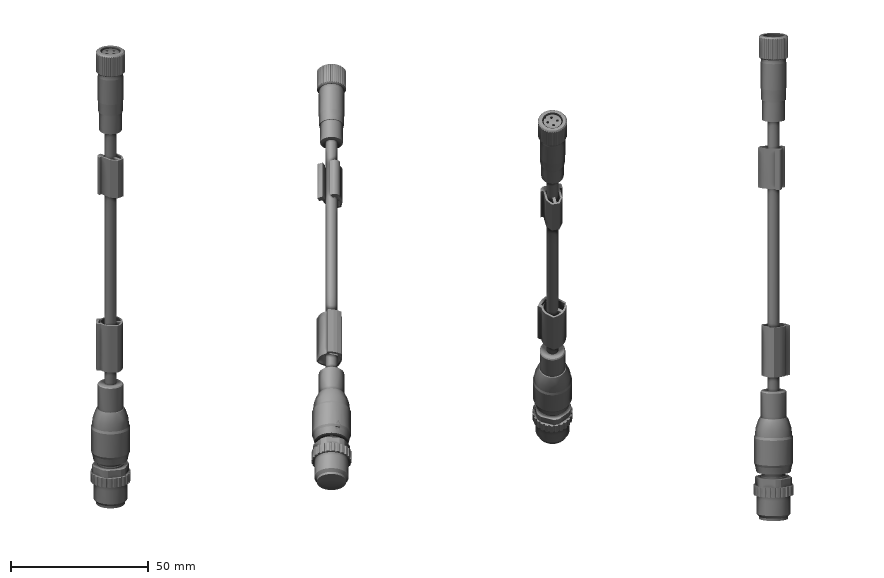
import cadquery as cq
import math

TOTAL_LENGTH = 178.4
CABLE_RADIUS = 2.1
OVERLAP = 0.9

PLUG_TOP = 47.3
THREAD_RADIUS = 6.2
TIP_RADIUS = 5.4
TIP_HEIGHT = 0.9
TIP_CHAMFER_TOP = 2.0
RING_BOTTOM = 9.0
RING_TOP = 12.5
RING_RADIUS = 7.3
RING_NOTCHES = 24
NOTCH_RADIUS = 0.45
HEX_TOP = 15.3
HEX_ACROSS_FLATS = 12.5
HEX_ACROSS_CORNERS = HEX_ACROSS_FLATS / math.cos(math.pi / 6)
HEX_CORNER_RADIUS = 6.69
COLLAR_TOP = 15.9
COLLAR_RADIUS = 4.8
NECK_RADIUS = 4.3
GRIP_BOTTOM = 17.3
GRIP_BOTTOM_RADIUS = 6.2
GRIP_LOWER_EDGE = 20.7
GRIP_UPPER_EDGE = 30.0
GRIP_RADIUS = 7.1
GRIP_BEVEL = 0.4
GRIP_BEVEL_HEIGHT = 0.9
SHOULDER_TOP = 37.5
SHOULDER_MID = 34.6
SHOULDER_MID_RADIUS = 6.2
SHOULDER_TOP_RADIUS = 5.0
SLEEVE_RADIUS = 4.6
SLEEVE_CHAMFER = 0.4
ARROW_BOTTOM = 20.9
ARROW_WIDTH = 1.8
ARROW_HEIGHT = 1.8
ARROW_DEPTH = 0.27
MARK_BOTTOM = 18.5
MARK_HEIGHT = 1.5
MARK_INNER_RADIUS = 6.2

SOCKET_BOTTOM = 147.2
SOCKET_TAIL_RADIUS = 4.1
SOCKET_TAPER_BOTTOM = 154.7
SOCKET_TAPER_RADIUS = 4.5
SOCKET_BODY_BOTTOM = 159.0
SOCKET_BODY_TOP = 168.5
SOCKET_BODY_RADIUS = 4.6
SOCKET_NECK_RADIUS = 4.5
NUT_BOTTOM = 170.0
NUT_RADIUS = 5.4
NUT_CHAMFER = 0.5
NUT_GROOVES = 40
NUT_GROOVE_RADIUS = 0.21
NUT_BORE_RADIUS = 3.7
NUT_BORE_DEPTH = 5.4
INSERT_RADIUS = 3.2
INSERT_RECESS = 0.5
PIN_HOLES = 4
PIN_CIRCLE_RADIUS = 1.8
PIN_HOLE_RADIUS = 0.5
PIN_HOLE_DEPTH = 5.4
KEY_SIZE = 0.7

CLIP_WALL = 0.7
WEB_THICKNESS = 1.0
OPEN_CLIP_BOTTOM = 122.2
OPEN_CLIP_TOP = 137.0
OPEN_CLIP_HALF_WIDTH = 3.0
OPEN_CLIP_TIP_X = (-3.7, -1.6)
OPEN_CLIP_SHOULDER_X = 2.9
OPEN_CLIP_BACK_X = 5.4
OPEN_CLIP_BACK_HALF_WIDTH = 1.5
RIGHT_TIP_Y = (-4.1, -1.2)
RIGHT_TIP_ROUND = 2.0
LEFT_TIP_Y = (1.8, 4.1)
LEFT_TIP_ROUND = 0.7
TAG_CLIP_BOTTOM = 53.0
TAG_CLIP_TOP = 71.4
TAG_CLIP_RADIUS = 4.3
TAG_CLIP_SIDE_BACK = 2.7
TAG_CLIP_BACK = 4.5
TAG_CLIP_OFFSET = -0.5
TAG_HALF_WIDTH = 2.7
TAG_FLAT_HALF_WIDTH = 0.7
TAG_FRONT = -5.4
TAG_SHOULDER = -5.0
TAG_BACK = -2.9
TAG_SLOT_HALF_WIDTH = 1.6
TAG_SLOT_FRONT = -4.3
TAG_SLOT_BACK = -3.5

DIAGONAL_ANGLE = 225


def cylinder(radius, bottom, top, x=0, y=0):
    return cq.Workplane("XY").workplane(offset=bottom).center(x, y).circle(radius).extrude(top - bottom)


def prism(points, bottom, top):
    return cq.Workplane("XY").workplane(offset=bottom).polyline(points).close().extrude(top - bottom)


def box_between(x_range, y_range, bottom, top):
    corners = [(x_range[0], y_range[0]), (x_range[1], y_range[0]),
               (x_range[1], y_range[1]), (x_range[0], y_range[1])]
    return prism(corners, bottom, top)


def turn_toward_diagonal(shape, facing_angle):
    """Turn a shape that faces facing_angle about Z so that it faces the diagonal."""
    return shape.rotate((0, 0, 0), (0, 0, 1), DIAGONAL_ANGLE - facing_angle)


def edge_grooves(count, rim_radius, groove_radius, bottom, top):
    """Round vertical cutters spaced evenly on a rim."""
    return (cq.Workplane("XY").workplane(offset=bottom)
            .polarArray(rim_radius, 180 / count, 360, count)
            .circle(groove_radius).extrude(top - bottom))


def make_plug():
    profile = (cq.Workplane("XZ").moveTo(0, 0)
               .lineTo(TIP_RADIUS, 0).lineTo(TIP_RADIUS, TIP_HEIGHT)
               .lineTo(THREAD_RADIUS, TIP_CHAMFER_TOP).lineTo(THREAD_RADIUS, RING_TOP)
               .lineTo(COLLAR_RADIUS, RING_TOP).lineTo(COLLAR_RADIUS, COLLAR_TOP)
               .lineTo(NECK_RADIUS, COLLAR_TOP).lineTo(NECK_RADIUS, GRIP_BOTTOM)
               .lineTo(GRIP_BOTTOM_RADIUS, GRIP_BOTTOM)
               .lineTo(GRIP_RADIUS - GRIP_BEVEL, GRIP_LOWER_EDGE - GRIP_BEVEL_HEIGHT)
               .lineTo(GRIP_RADIUS, GRIP_LOWER_EDGE)
               .lineTo(GRIP_RADIUS, GRIP_UPPER_EDGE)
               .lineTo(GRIP_RADIUS - GRIP_BEVEL, GRIP_UPPER_EDGE + GRIP_BEVEL_HEIGHT)
               .threePointArc((SHOULDER_MID_RADIUS, SHOULDER_MID), (SHOULDER_TOP_RADIUS, SHOULDER_TOP))
               .lineTo(SLEEVE_RADIUS, SHOULDER_TOP).lineTo(SLEEVE_RADIUS, PLUG_TOP - SLEEVE_CHAMFER)
               .lineTo(SLEEVE_RADIUS - SLEEVE_CHAMFER, PLUG_TOP).lineTo(0, PLUG_TOP).close())
    body = profile.revolve(360, (0, 0, 0), (0, 1, 0))

    ring = cylinder(RING_RADIUS, RING_BOTTOM, RING_TOP)
    ring = ring.cut(edge_grooves(RING_NOTCHES, RING_RADIUS, NOTCH_RADIUS, RING_BOTTOM, RING_TOP))
    hexagon = (cq.Workplane("XY").workplane(offset=RING_TOP)
               .polygon(6, HEX_ACROSS_CORNERS).extrude(HEX_TOP - RING_TOP))
    hexagon = hexagon.intersect(cylinder(HEX_CORNER_RADIUS, RING_TOP, HEX_TOP))
    body = body.union(ring).union(hexagon)

    arrow_floor = GRIP_RADIUS - ARROW_DEPTH
    arrow = (cq.Workplane("YZ").workplane(offset=arrow_floor)
             .polyline([(-ARROW_WIDTH / 2, ARROW_BOTTOM), (ARROW_WIDTH / 2, ARROW_BOTTOM),
                        (0, ARROW_BOTTOM + ARROW_HEIGHT)]).close().extrude(GRIP_RADIUS - arrow_floor))
    mark = box_between((MARK_INNER_RADIUS, GRIP_RADIUS), (-ARROW_WIDTH / 2, ARROW_WIDTH / 2),
                       MARK_BOTTOM, MARK_BOTTOM + MARK_HEIGHT)
    return body.cut(turn_toward_diagonal(arrow, 0)).cut(turn_toward_diagonal(mark, 0))


def make_socket():
    body = (cq.Workplane("XZ").moveTo(0, SOCKET_BOTTOM)
            .lineTo(SOCKET_TAIL_RADIUS, SOCKET_BOTTOM).lineTo(SOCKET_TAIL_RADIUS, SOCKET_TAPER_BOTTOM)
            .lineTo(SOCKET_TAPER_RADIUS, SOCKET_TAPER_BOTTOM)
            .lineTo(SOCKET_BODY_RADIUS, SOCKET_BODY_BOTTOM).lineTo(SOCKET_BODY_RADIUS, SOCKET_BODY_TOP)
            .lineTo(SOCKET_NECK_RADIUS, NUT_BOTTOM).lineTo(0, NUT_BOTTOM).close()
            .revolve(360, (0, 0, 0), (0, 1, 0)))

    nut = cylinder(NUT_RADIUS, NUT_BOTTOM, TOTAL_LENGTH).faces("<Z or >Z").chamfer(NUT_CHAMFER)
    nut = nut.cut(edge_grooves(NUT_GROOVES, NUT_RADIUS, NUT_GROOVE_RADIUS, NUT_BOTTOM, TOTAL_LENGTH))
    bore_floor = TOTAL_LENGTH - NUT_BORE_DEPTH
    nut = nut.cut(cylinder(NUT_BORE_RADIUS, bore_floor, TOTAL_LENGTH))

    insert_top = TOTAL_LENGTH - INSERT_RECESS
    insert = cylinder(INSERT_RADIUS, bore_floor, insert_top)
    pins = (cq.Workplane("XY").workplane(offset=insert_top)
            .polarArray(PIN_CIRCLE_RADIUS, 0, 360, PIN_HOLES)
            .circle(PIN_HOLE_RADIUS).extrude(-PIN_HOLE_DEPTH))
    key = box_between((INSERT_RADIUS - KEY_SIZE / 2, INSERT_RADIUS + KEY_SIZE),
                      (-KEY_SIZE / 2, KEY_SIZE / 2), bore_floor, insert_top)
    insert = insert.cut(pins).cut(turn_toward_diagonal(key, 0))
    return body.union(nut).union(insert)


def make_open_clip():
    """Thin channel, open toward -X, with a thick rounded tip on each arm."""
    bottom, top = OPEN_CLIP_BOTTOM, OPEN_CLIP_TOP
    arm_start_x = sum(OPEN_CLIP_TIP_X) / 2
    outline = [(arm_start_x, -OPEN_CLIP_HALF_WIDTH), (OPEN_CLIP_SHOULDER_X, -OPEN_CLIP_HALF_WIDTH),
               (OPEN_CLIP_BACK_X, -OPEN_CLIP_BACK_HALF_WIDTH), (OPEN_CLIP_BACK_X, OPEN_CLIP_BACK_HALF_WIDTH),
               (OPEN_CLIP_SHOULDER_X, OPEN_CLIP_HALF_WIDTH), (arm_start_x, OPEN_CLIP_HALF_WIDTH)]
    inner_half_width = OPEN_CLIP_HALF_WIDTH - CLIP_WALL
    inner_back_x = OPEN_CLIP_BACK_X - CLIP_WALL
    inner_back_half_width = OPEN_CLIP_BACK_HALF_WIDTH - CLIP_WALL / 2
    channel = [(arm_start_x, -inner_half_width), (OPEN_CLIP_SHOULDER_X, -inner_half_width),
               (inner_back_x, -inner_back_half_width), (inner_back_x, inner_back_half_width),
               (OPEN_CLIP_SHOULDER_X, inner_half_width), (arm_start_x, inner_half_width)]
    clip = prism(outline, bottom, top).cut(prism(channel, bottom, top))
    right_tip = box_between(OPEN_CLIP_TIP_X, RIGHT_TIP_Y, bottom, top)
    right_tip = right_tip.edges("|Z").edges("<X").edges("<Y").fillet(RIGHT_TIP_ROUND)
    left_tip = box_between(OPEN_CLIP_TIP_X, LEFT_TIP_Y, bottom, top)
    left_tip = left_tip.edges("|Z").edges("<X").edges(">Y").fillet(LEFT_TIP_ROUND)
    clip = clip.union(right_tip).union(left_tip)
    web = box_between((0, OPEN_CLIP_BACK_X - CLIP_WALL / 2),
                      (-WEB_THICKNESS / 2, WEB_THICKNESS / 2), bottom, top)
    return clip.union(web)


def tag_tube(radius, back):
    """Solid with a half-round front, straight sides and a shallow arched back."""
    return (cq.Workplane("XY").workplane(offset=TAG_CLIP_BOTTOM)
            .moveTo(-radius, 0).threePointArc((0, -radius), (radius, 0))
            .lineTo(radius, TAG_CLIP_SIDE_BACK)
            .threePointArc((0, back), (-radius, TAG_CLIP_SIDE_BACK))
            .close().extrude(TAG_CLIP_TOP - TAG_CLIP_BOTTOM))


def make_tag_clip():
    """Closed tube with straight sides and a label holder; built facing -Y, then turned to the diagonal."""
    bottom, top = TAG_CLIP_BOTTOM, TAG_CLIP_TOP
    inner_radius = TAG_CLIP_RADIUS - CLIP_WALL
    holder = prism([(-TAG_HALF_WIDTH, TAG_BACK), (-TAG_HALF_WIDTH, TAG_SHOULDER),
                    (-TAG_FLAT_HALF_WIDTH, TAG_FRONT), (TAG_FLAT_HALF_WIDTH, TAG_FRONT),
                    (TAG_HALF_WIDTH, TAG_SHOULDER), (TAG_HALF_WIDTH, TAG_BACK)], bottom, top)
    slot = box_between((-TAG_SLOT_HALF_WIDTH, TAG_SLOT_HALF_WIDTH),
                       (TAG_SLOT_FRONT, TAG_SLOT_BACK), bottom, top)
    clip = tag_tube(TAG_CLIP_RADIUS, TAG_CLIP_BACK).union(holder)
    clip = clip.cut(slot).cut(tag_tube(inner_radius, TAG_CLIP_BACK - CLIP_WALL))
    web = box_between((-WEB_THICKNESS / 2, WEB_THICKNESS / 2),
                      (0, TAG_CLIP_BACK - CLIP_WALL / 2), bottom, top)
    clip = clip.union(web).translate((TAG_CLIP_OFFSET, 0, 0))
    return turn_toward_diagonal(clip, 270)


cable = cylinder(CABLE_RADIUS, PLUG_TOP - OVERLAP, SOCKET_BOTTOM + OVERLAP)
result = cable.union(make_plug()).union(make_socket()).union(make_open_clip()).union(make_tag_clip())